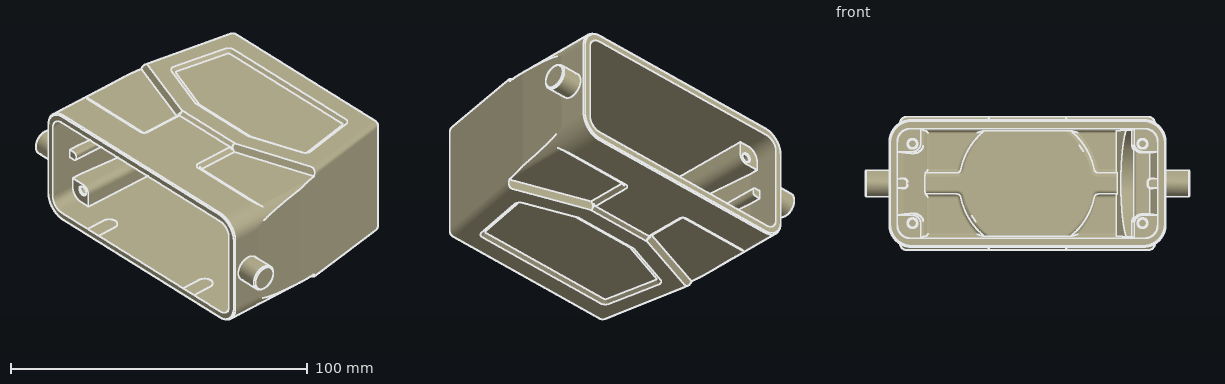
import cadquery as cq
import math


depth = 76.0
mouth_half_x = 46.6
mouth_half_z = 21.5
mouth_corner = 7.7
mouth_chamfer = 0.4
straight_y = 11
lean_y = 32.0
lean_half_x = 44.5
end_half_x = 36.5
block_height = 45.0
block_half_z = block_height / 2
block_fillet = 2.2

step_center_y = 29.2
step_half_x = 13.4
step_rise = 0.35
step_run = 1.6

field_half_z = 20.1
field_x = 14.3
field_y = 14.7
field_slope = 53
field_depth = 1.6
field_edge_fillet = 2.2

label_depth = 1.1
label_slope = 55
label_corner = 2.2
label_outline = [(13.1, 37.0), (34.4, 44.6), (29.8, 68.0)]

pin_radius = 4.5
pin_y = 6.2
pin_end_x = 54.8
pin_chamfer = 0.4

wall = 2.7
cavity_half_x = mouth_half_x - wall
cavity_half_z = 18.5
cavity_corner = 4.4
cavity_end_y = 73.4
cavity_draft = 0.6
cavity_fillet = 0.9
lean_cavity_half_x = lean_half_x - wall
end_cavity_half_x = 34.0

pad_height = 2.7
pad_radius = 23
band_width = 7.1
band_half_z = band_width / 2
pad_fillet = 1.3

post_front_y = 9.0
post_x = 35.9
post_z = 10.7
post_corner = 2.8
post_draft = 1
screw_x = 38.8
screw_z = 13.4
screw_radius = 1.4
screw_countersink = 0.3
screw_depth = 13.1

rib_front_y = 7.7
rib_x = 40.6
rib_half_z = 1.5
rib_fillet = 1.1
rib_draft = 0.5

boss_front_y = 35
boss_front_x = 35.8
boss_bore_x = 34.5
boss_end_x = 29.9
boss_edge_fillet = 1.0
bore_radius = 19.7
bore_y = 43.7

slot_x = 23.8
slot_width = 5.5
slot_end_y = 10.1

reach = 65.7
margin = 0.5


def mirrored_x(points):
    """Close a half outline (points at +X) into one symmetric about X = 0."""
    return points + [(-x, y) for x, y in reversed(points)]


def plan_prism(points, half_z):
    """Prism with an XY outline, symmetric about Z = 0."""
    return cq.Workplane("XY").polyline(points).close().extrude(half_z, both=True)


def box(x_range, y_range, z_range):
    """Box between the given pairs of coordinates."""
    sizes = [high - low for low, high in (x_range, y_range, z_range)]
    corner = (x_range[0], y_range[0], z_range[0])
    return cq.Workplane("XY").box(*sizes, centered=False).translate(corner)


def both_z(solid):
    """The solid and its mirror image about Z = 0."""
    return solid.union(solid.mirror("XY"))


def both_x(solid):
    """The solid and its mirror image about X = 0."""
    return solid.union(solid.mirror("YZ"))


def step_y(x):
    """Y of the foot of the step at a given X."""
    return step_center_y + step_rise * max(0, abs(x) - step_half_x)


def mouth_section():
    """Rounded section at the mouth, with the leaning sides and the sunken fields."""
    length = step_y(mouth_half_x) + step_run
    section = (
        cq.Workplane("XZ").rect(2 * mouth_half_x, 2 * mouth_half_z).extrude(-length)
        .edges("|Y").fillet(mouth_corner)
        .faces("<Y").chamfer(mouth_chamfer)
    )
    field = (
        cq.Workplane("XY", origin=(0, 0, field_half_z))
        .moveTo(field_x, field_y).lineTo(reach, field_y).lineTo(reach, reach).lineTo(field_x, reach).close()
        .extrude(field_depth, taper=-field_slope)
    )
    section = section.cut(both_z(both_x(field)))
    drop = field_half_z - (mouth_half_z - mouth_corner)
    edge_x = mouth_half_x - mouth_corner + math.sqrt(mouth_corner**2 - drop**2)
    for x in (-edge_x, edge_x):
        for z in (-field_half_z, field_half_z):
            outer_edge = cq.selectors.NearestToPointSelector((x, (field_y + length) / 2, z))
            section = section.edges("|Y").edges(outer_edge).fillet(field_edge_fillet)
    outline = [(mouth_half_x, 0), (mouth_half_x, straight_y), (lean_half_x, lean_y), (end_half_x, depth)]
    return section.intersect(plan_prism(mirrored_x(outline), block_half_z))


def step_cutter(start, end, foot_z):
    """Wedge that slopes the step face between two plan points, from foot_z upwards."""
    along = cq.Vector(end[0] - start[0], end[1] - start[1], 0)
    run = step_run * along.x / along.Length
    plane = cq.Plane(origin=(start[0], start[1], 0), xDir=(-along.y, along.x, 0), normal=along.toTuple())
    height = block_half_z - foot_z
    wedge = [(-run, foot_z - height), (2 * run, foot_z + 2 * height), (-run, foot_z + 2 * height)]
    return cq.Workplane(plane).polyline(wedge).close().extrude(along.Length)


def thick_block():
    """Block behind the V-shaped step, with rounded edges and a sloped step face."""
    lean = (lean_half_x - end_half_x) / (depth - lean_y)
    foot_at_lean = step_y(lean_half_x)
    side_x = lean_half_x - lean * (foot_at_lean - lean_y) / (1 + lean * step_rise)
    outline = [(step_half_x, step_center_y), (side_x, step_y(side_x)), (end_half_x, depth)]
    block = plan_prism(mirrored_x(outline), block_half_z)
    side_edges = cq.selectors.BoxSelector(
        (-reach, step_y(side_x) + margin, -reach), (reach, depth + margin, reach)
    )
    block = block.edges(side_edges).fillet(block_fillet)

    bend = (step_half_x, step_center_y)
    far = (reach, step_y(reach))
    slanted = step_cutter(bend, far, field_half_z)
    level = step_cutter((-step_half_x, step_center_y), bend, mouth_half_z)
    return block.cut(both_z(both_x(slanted).union(level)))


def label_recess():
    """Recess with sloped walls in the face of the thick block."""
    outline = mirrored_x(label_outline)
    return (
        cq.Workplane("XY", origin=(0, 0, block_half_z))
        .sketch().polygon(outline + outline[:1]).vertices(">Y or >X or <X").fillet(label_corner).finalize()
        .extrude(-label_depth, taper=label_slope)
    )


def pins():
    """Locking pins on both side walls, rooted halfway into the wall."""
    pin = (
        cq.Workplane("YZ", origin=(mouth_half_x - wall / 2, 0, 0)).center(pin_y, 0).circle(pin_radius)
        .extrude(pin_end_x - mouth_half_x + wall / 2)
        .faces(">X").chamfer(pin_chamfer)
    )
    return both_x(pin)


def bare_cavity():
    """Tapering cavity before anything stands inside it."""
    outline = [
        (cavity_half_x, 0),
        (cavity_half_x, straight_y),
        (lean_cavity_half_x, lean_y),
        (end_cavity_half_x, cavity_end_y),
    ]
    section = (
        cq.Workplane("XZ")
        .sketch().rect(2 * cavity_half_x, 2 * cavity_half_z).vertices().fillet(cavity_corner).finalize()
        .extrude(-depth, taper=cavity_draft)
    )
    cavity = section.intersect(plan_prism(mirrored_x(outline), cavity_half_z))
    return cavity.faces(">Y").edges().fillet(cavity_fillet)


def end_pad():
    """Plate at the closed end that carries the raised disc and band."""
    top_y = cavity_end_y - pad_height
    disc = cq.Workplane("XZ", origin=(0, top_y, 0)).circle(pad_radius).extrude(-pad_height)
    band = box((-reach, reach), (top_y, cavity_end_y), (-band_half_z, band_half_z))
    pad = disc.union(band)
    junctions = cq.selectors.BoxSelector(
        (-pad_radius, 0, -band_width), (pad_radius, depth, band_width)
    )
    pad = pad.edges("|Y").edges(junctions).fillet(pad_fillet)
    pad = pad.faces("<Y").edges().fillet(pad_fillet)
    plate = box((-reach, reach), (cavity_end_y, depth), (-reach, reach))
    inside = reach - margin
    foot = cq.selectors.BoxSelector(
        (-inside, cavity_end_y - margin, -inside), (inside, cavity_end_y + margin, inside)
    )
    return plate.union(pad).edges(foot).fillet(pad_fillet)


def posts():
    """Four corner posts with blind screw holes, growing slightly towards the closed end."""
    corner_x = (post_x + reach) / 2
    corner_z = (post_z + reach) / 2
    post = (
        cq.Workplane("XZ", origin=(0, post_front_y, 0)).center(corner_x, corner_z)
        .sketch().rect(reach - post_x, reach - post_z).vertices().fillet(post_corner).finalize()
        .extrude(post_front_y - depth, taper=-post_draft)
    )
    screw = (
        cq.Workplane("XZ", origin=(0, post_front_y, 0)).center(screw_x, screw_z)
        .circle(screw_radius).extrude(-screw_depth)
    )
    rim = cq.selectors.NearestToPointSelector((screw_x, post_front_y, screw_z))
    post = post.cut(screw).edges("%CIRCLE").edges(rim).chamfer(screw_countersink)
    return both_z(both_x(post))


def ribs():
    """Round-nosed ribs along the middle of the side walls."""
    rib = (
        cq.Workplane("XZ", origin=((rib_x + reach) / 2, rib_front_y, 0))
        .sketch().rect(reach - rib_x, 2 * rib_half_z).vertices().fillet(rib_fillet).finalize()
        .extrude(rib_front_y - depth, taper=-rib_draft)
    )
    return both_x(rib)


def entry_boss():
    """Thickening of the +X wall, hollowed by a blind bore along X."""
    outline = [
        (boss_front_x, boss_front_y),
        (reach, boss_front_y),
        (reach, cavity_end_y),
        (boss_end_x, cavity_end_y),
        (boss_bore_x, bore_y),
        (boss_front_x, bore_y),
    ]
    front_edge = cq.selectors.NearestToPointSelector((boss_front_x, boss_front_y, 0))
    boss = plan_prism(outline, block_half_z).edges("|Z").edges(front_edge).fillet(boss_edge_fillet)
    bore = cq.Workplane("YZ").center(bore_y, 0).circle(bore_radius).extrude(boss_front_x)
    return boss.cut(bore)


def mouth_slots():
    """Two shallow round-ended slots, open at the mouth, with floors level with its lower edge."""
    end_radius = slot_width / 2
    straight = slot_end_y - end_radius
    slot = (
        cq.Workplane("XY", origin=(slot_x, 0, -cavity_half_z))
        .moveTo(-end_radius, 0).lineTo(end_radius, 0).lineTo(end_radius, straight)
        .threePointArc((0, slot_end_y), (-end_radius, straight)).close()
        .extrude(wall)
    )
    return both_x(slot)


shell = mouth_section().union(thick_block()).cut(both_z(label_recess())).union(pins())
hollow = bare_cavity().cut(end_pad()).cut(posts()).cut(ribs()).cut(entry_boss())
result = shell.cut(hollow).cut(mouth_slots())